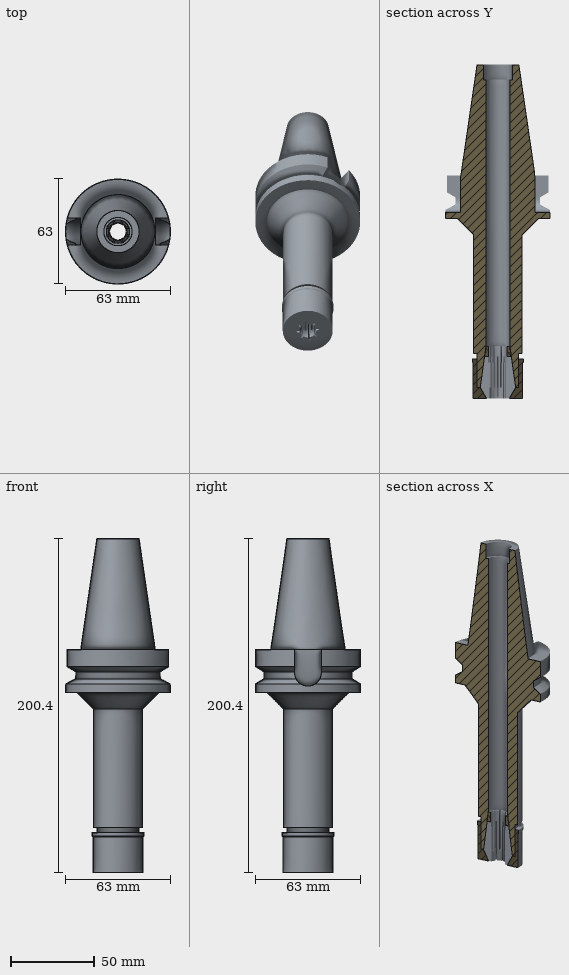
import cadquery as cq
import math

taper_length = 65.4
gauge_band_end = -1.2
flange_bottom = -27.0
groove_top_edge = -11.4
groove_floor_top = -14.5
groove_floor_bottom = -18.8
groove_bottom_edge = -21.8
shank_end = -108.1
nut_top = -111.0
nut_bottom = -135.0

gauge_diameter = 44.45
taper_ratio = 7 / 24
taper_tip_diameter = gauge_diameter - taper_length * taper_ratio
flange_diameter = 63.0
groove_diameter = 53.0
flange_cone_diameter = 49.0
shank_diameter = 29.5
flange_cone_end = flange_bottom - (flange_cone_diameter - shank_diameter) / 2
neck_diameter = 25.2
drawbar_bore_diameter = 17.0
drawbar_bore_depth = 8.9
through_bore_diameter = 14.0

slot_width = 16.1
slot_bottom = -23.05
slot_floor_distance = 22.5

collet_length = 31.5
collet_top = nut_bottom + collet_length
collet_large_diameter = 21.0
collet_taper_angle = 8.0
collet_front_angle = 30.0
collet_large_end = collet_top - (collet_large_diameter - through_bore_diameter) / 2 / math.tan(
    math.radians(collet_taper_angle))
collet_front_radius = collet_large_diameter / 2 - (collet_large_end - nut_bottom) * math.tan(
    math.radians(collet_front_angle))
collet_bore_diameter = 10.0
collet_relief_diameter = 10.8
collet_relief_depth = 10.0
collet_slot_count = 8
collet_slot_width = 1.0
collet_slot_depth = 25.0

nut_diameter = 30.0
rim_diameter = 31.0
rim_height = 2.1
rim_chamfer = (rim_diameter - nut_diameter) / 2


def revolved(half_profile):
    """Solid of revolution about Z from (radius, height) points."""
    return cq.Workplane("XZ").polyline(half_profile).close().revolve(360, (0, 0, 0), (0, 1, 0))


def make_drive_slot(side):
    """Round-bottomed slot cutter, side = +1 or -1 along X."""
    radius = slot_width / 2
    arc_center = slot_bottom + radius
    depth = flange_diameter / 2 - slot_floor_distance
    return (
        cq.Workplane("YZ", origin=(side * slot_floor_distance, 0, 0))
        .moveTo(-radius, 0)
        .lineTo(-radius, arc_center)
        .threePointArc((0, slot_bottom), (radius, arc_center))
        .lineTo(radius, 0)
        .close()
        .extrude(side * depth)
    )


def make_holder():
    """Taper, grooved flange, shank and nose, bored right through."""
    through_radius = through_bore_diameter / 2
    drawbar_radius = drawbar_bore_diameter / 2
    drawbar_floor = taper_length - drawbar_bore_depth
    holder = revolved([
        (drawbar_radius, taper_length),
        (taper_tip_diameter / 2, taper_length),
        (gauge_diameter / 2, 0),
        (gauge_diameter / 2, gauge_band_end),
        (flange_diameter / 2, gauge_band_end),
        (flange_diameter / 2, groove_top_edge),
        (groove_diameter / 2, groove_floor_top),
        (groove_diameter / 2, groove_floor_bottom),
        (flange_diameter / 2, groove_bottom_edge),
        (flange_diameter / 2, flange_bottom),
        (flange_cone_diameter / 2, flange_bottom),
        (shank_diameter / 2, flange_cone_end),
        (shank_diameter / 2, shank_end),
        (neck_diameter / 2, shank_end),
        (neck_diameter / 2, collet_large_end),
        (collet_large_diameter / 2, collet_large_end),
        (through_radius, collet_top),
        (through_radius, drawbar_floor),
        (drawbar_radius, drawbar_floor),
    ])
    for side in (-1, 1):
        holder = holder.cut(make_drive_slot(side))
    return holder


def make_collet():
    """Double-cone collet, slotted alternately from its rear and front ends."""
    relief_end = collet_top - collet_relief_depth
    collet = revolved([
        (collet_relief_diameter / 2, collet_top),
        (through_bore_diameter / 2, collet_top),
        (collet_large_diameter / 2, collet_large_end),
        (collet_front_radius, nut_bottom),
        (collet_bore_diameter / 2, nut_bottom),
        (collet_bore_diameter / 2, relief_end),
        (collet_relief_diameter / 2, relief_end),
    ])
    pitch = 360 / collet_slot_count
    rear_slot_base = collet_top - collet_slot_depth
    for base, first_angle in ((rear_slot_base, pitch / 2), (nut_bottom, 0)):
        slot = cq.Workplane("XY", origin=(0, 0, base)).box(
            collet_large_diameter, collet_slot_width, collet_slot_depth, centered=(False, True, False))
        for index in range(collet_slot_count):
            collet = collet.cut(slot.rotate((0, 0, 0), (0, 0, 1), first_angle + index * pitch))
    return collet


def make_nut():
    """Rimmed clamping nut that fits over the holder nose and the collet front cone."""
    rim_bottom = nut_top - rim_height
    return revolved([
        (neck_diameter / 2, nut_top),
        (rim_diameter / 2, nut_top),
        (rim_diameter / 2, rim_bottom),
        (nut_diameter / 2, rim_bottom - rim_chamfer),
        (nut_diameter / 2, nut_bottom),
        (collet_front_radius, nut_bottom),
        (collet_large_diameter / 2, collet_large_end),
        (neck_diameter / 2, collet_large_end),
    ])


holder = make_holder()
collet = make_collet()
nut = make_nut()

result = cq.Compound.makeCompound([holder.val(), collet.val(), nut.val()])